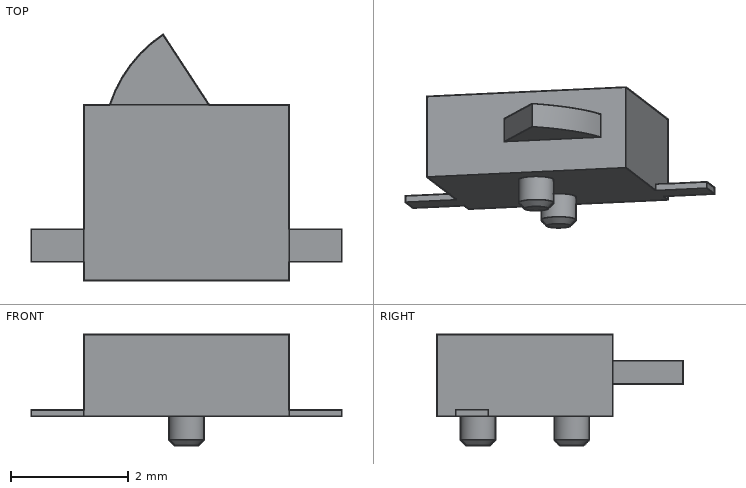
import cadquery as cq

BODY_LENGTH = 3.5
BODY_WIDTH = 3.0
BODY_HEIGHT = 1.4
FRONT_Y = -BODY_WIDTH / 2
BACK_Y = BODY_WIDTH / 2

TERMINAL_SPAN = 5.3
TERMINAL_WIDTH = 0.56
TERMINAL_THICKNESS = 0.11
TERMINAL_Y = FRONT_Y + 0.6

PIN_DIAMETER = 0.6
PIN_LENGTH = 0.5
PIN_CHAMFER = 0.1
PIN_SPACING = 1.6
FRONT_PIN_Y = FRONT_Y + 0.7

LEVER_THICKNESS = 0.4
LEVER_BOTTOM_Z = 0.55
LEVER_REACH = 1.2
LEVER_TIP_X = -0.4
LEVER_ARC_FOOT_X = -1.31
LEVER_STRAIGHT_FOOT_X = 0.385
LEVER_ARC_RADIUS = 2.3


def make_body():
    return cq.Workplane("XY").box(BODY_LENGTH, BODY_WIDTH, BODY_HEIGHT, centered=(True, True, False))


def make_terminals():
    """A single strip through the housing leaves a terminal on each end."""
    strip = cq.Workplane("XY").box(
        TERMINAL_SPAN, TERMINAL_WIDTH, TERMINAL_THICKNESS, centered=(True, True, False)
    )
    return strip.translate((0, TERMINAL_Y, 0))


def make_pin(y):
    pin = cq.Workplane("XY").circle(PIN_DIAMETER / 2).extrude(-PIN_LENGTH)
    return pin.faces("<Z").chamfer(PIN_CHAMFER).translate((0, y, 0))


def make_lever():
    """Blade with a convex arc on the -X side and a straight edge on the +X side."""
    return (
        cq.Workplane("XY", origin=(0, 0, LEVER_BOTTOM_Z))
        .moveTo(LEVER_STRAIGHT_FOOT_X, BACK_Y)
        .lineTo(LEVER_TIP_X, BACK_Y + LEVER_REACH)
        .radiusArc((LEVER_ARC_FOOT_X, BACK_Y), -LEVER_ARC_RADIUS)
        .close()
        .extrude(LEVER_THICKNESS)
    )


result = make_body().union(make_terminals()).union(make_lever())
for pin_y in (FRONT_PIN_Y, FRONT_PIN_Y + PIN_SPACING):
    result = result.union(make_pin(pin_y))